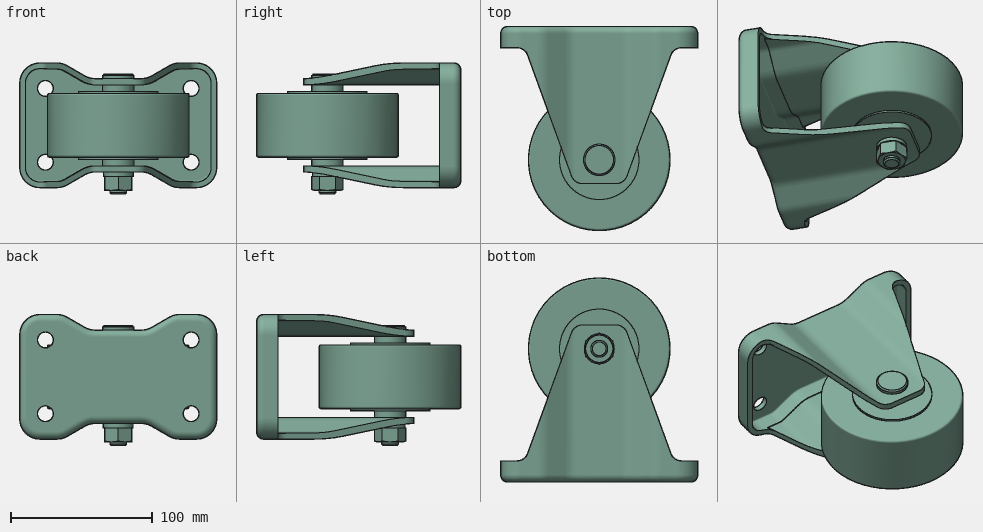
import cadquery as cq
import math


WHEEL_RADIUS = 50.0
WHEEL_WIDTH = 45.0
WHEEL_EDGE_RADIUS = 1.5
HUB_DIAMETER = 56.0
HUB_WIDTH = 48.0
SPACER_DIAMETER = 22.2
AXLE_DIAMETER = 12.0
AXLE_TIP_LENGTH = 2.7
AXLE_TIP_CHAMFER = 1.2
HEAD_DIAMETER = SPACER_DIAMETER
HEAD_HEIGHT = 3.0
HEAD_CHAMFER = 1.0
WASHER_DIAMETER = 21.2
WASHER_THICKNESS = 3.0
NUT_CORNER_DIAMETER = 22.2
NUT_HEIGHT = 9.8
NUT_CHAMFER_HEIGHT = 0.6

PLATE_SHEET = 4.0
LEG_SHEET = 4.5
PLATE_LENGTH = 139.0
PLATE_HEIGHT = 88.0
PLATE_FACE_Y = 94.0
RIM_DEPTH = 15.1
CORNER_RADIUS = 14.4
FACE_EDGE_RADIUS = 5.0
WAIST_HEIGHT = 66.0
WAIST_HALF_FLAT = 16.4
BEND_ANGLE = math.radians(30)
BEND_RADIUS = 14.4
LEG_REACH = 16.8
LEG_HALF_TIP = 17.5
LEG_SLOPE = math.radians(20)
LEG_TIP_RADIUS = 8.6
LEG_ROOT_RADIUS = 7.8
HOLE_DIAMETER = 11.0
HOLE_SPACING_X = 102.7
HOLE_SPACING_Z = 52.0

SELECTION_MARGIN = 1.5

RIM_Y = PLATE_FACE_Y - RIM_DEPTH
LEG_HALF_ROOT = LEG_HALF_TIP + (RIM_Y + LEG_REACH) * math.tan(LEG_SLOPE)


def fork_quarter(inset):
    """Return the +X, +Z quarter of the waisted plate outline, moved inwards by inset."""
    half_length = PLATE_LENGTH / 2 - inset
    half_height = PLATE_HEIGHT / 2 - inset
    half_waist = WAIST_HEIGHT / 2 - inset
    corner = CORNER_RADIUS - inset
    shoulder = BEND_RADIUS - inset
    hollow = BEND_RADIUS + inset

    sine = math.sin(BEND_ANGLE)
    rise = 1 - math.cos(BEND_ANGLE)
    diagonal = 1 - math.sqrt(0.5)
    half = BEND_ANGLE / 2

    slope_start_x = WAIST_HALF_FLAT + hollow * sine
    slope_start_z = half_waist + hollow * rise
    slope_end_z = half_height - shoulder * rise
    slope_end_x = slope_start_x + (slope_end_z - slope_start_z) / math.tan(BEND_ANGLE)
    shoulder_x = slope_end_x + shoulder * sine
    hollow_mid = (
        WAIST_HALF_FLAT + hollow * math.sin(half),
        half_waist + hollow * (1 - math.cos(half)),
    )
    shoulder_mid = (
        shoulder_x - shoulder * math.sin(half),
        half_height - shoulder * (1 - math.cos(half)),
    )
    corner_mid = (half_length - corner * diagonal, half_height - corner * diagonal)

    return (
        cq.Workplane("XZ")
        .moveTo(0, 0)
        .lineTo(0, half_waist)
        .lineTo(WAIST_HALF_FLAT, half_waist)
        .threePointArc(hollow_mid, (slope_start_x, slope_start_z))
        .lineTo(slope_end_x, slope_end_z)
        .threePointArc(shoulder_mid, (shoulder_x, half_height))
        .lineTo(half_length - corner, half_height)
        .threePointArc(corner_mid, (half_length, half_height - corner))
        .lineTo(half_length, 0)
        .close()
    )


def fork_prism(inset, bottom_y, top_y):
    """Return a solid prism of the plate outline, moved inwards by inset, between two heights along Y."""
    quarter = fork_quarter(inset).extrude(top_y - bottom_y).translate((0, top_y, 0))
    upper_half = quarter.union(quarter.mirror("YZ"))
    return upper_half.union(upper_half.mirror("XY")).clean()


def leg_taper():
    """Return a block through both legs with their tapered outline and rounded tips."""
    return (
        cq.Workplane("XY")
        .polyline([
            (-LEG_HALF_TIP, -LEG_REACH),
            (LEG_HALF_TIP, -LEG_REACH),
            (LEG_HALF_ROOT, RIM_Y),
            (-LEG_HALF_ROOT, RIM_Y),
        ])
        .close()
        .extrude(PLATE_HEIGHT / 2, both=True)
        .edges("|Z and <Y")
        .fillet(LEG_TIP_RADIUS)
    )


def rim_and_leg_taper():
    """Return the leg taper joined to a full-length block for the rim, with rounded leg roots."""
    rim = cq.Workplane("XY").box(PLATE_LENGTH, RIM_DEPTH, PLATE_HEIGHT)
    rim = rim.translate((0, PLATE_FACE_Y - RIM_DEPTH / 2, 0))
    margin = SELECTION_MARGIN
    root_edges = cq.selectors.BoxSelector(
        (-LEG_HALF_ROOT - margin, RIM_Y - margin, -PLATE_HEIGHT),
        (LEG_HALF_ROOT + margin, RIM_Y + margin, PLATE_HEIGHT),
    )
    return rim.union(leg_taper()).edges("|Z").edges(root_edges).fillet(LEG_ROOT_RADIUS)


def make_fork():
    """Return the mounting plate with its rim and the two legs that carry the axle."""
    block = fork_prism(0, -LEG_REACH, PLATE_FACE_Y).faces(">Y").edges().fillet(FACE_EDGE_RADIUS)
    cavity = fork_prism(PLATE_SHEET, -LEG_REACH, PLATE_FACE_Y - PLATE_SHEET)
    cavity = cavity.faces(">Y").edges().fillet(FACE_EDGE_RADIUS - PLATE_SHEET)
    dish = block.cut(cavity).intersect(rim_and_leg_taper())

    leg_gap = fork_prism(LEG_SHEET, -LEG_REACH, RIM_Y)
    legs = block.cut(leg_gap).intersect(leg_taper())
    fork = dish.union(legs)

    mounting_holes = (
        cq.Workplane("XZ", origin=(0, PLATE_FACE_Y, 0))
        .rect(HOLE_SPACING_X, HOLE_SPACING_Z, forConstruction=True)
        .vertices()
        .circle(HOLE_DIAMETER / 2)
        .extrude(PLATE_SHEET)
    )
    axle_hole = cq.Workplane("XY").circle(AXLE_DIAMETER / 2).extrude(PLATE_HEIGHT / 2, both=True)
    return fork.cut(mounting_holes).cut(axle_hole).solids()


def disc(diameter, start_z, height):
    """Return a cylinder on the wheel axis."""
    return cq.Workplane("XY", origin=(0, 0, start_z)).circle(diameter / 2).extrude(height)


def make_nut(bottom_z):
    """Return the hexagonal nut, corners towards +Y and -Y, chamfered at its lower end."""
    hexagon = (
        cq.Workplane("XY", origin=(0, 0, bottom_z))
        .transformed(rotate=(0, 0, 90))
        .polygon(6, NUT_CORNER_DIAMETER)
        .extrude(NUT_HEIGHT)
    )
    corner_radius = NUT_CORNER_DIAMETER / 2
    flat_radius = corner_radius * math.cos(math.pi / 6)
    chamfered_round = (
        cq.Workplane("XZ")
        .moveTo(0, bottom_z)
        .lineTo(flat_radius, bottom_z)
        .lineTo(corner_radius, bottom_z + NUT_CHAMFER_HEIGHT)
        .lineTo(corner_radius, bottom_z + NUT_HEIGHT)
        .lineTo(0, bottom_z + NUT_HEIGHT)
        .close()
        .revolve(360, (0, 0, 0), (0, 1, 0))
    )
    return hexagon.intersect(chamfered_round)


def make_wheel():
    """Return the wheel with its hub, spacers, axle, head, washer and nut."""
    leg_outer_z = WAIST_HEIGHT / 2
    leg_inner_z = leg_outer_z - LEG_SHEET
    nut_top_z = -leg_outer_z - WASHER_THICKNESS
    nut_bottom_z = nut_top_z - NUT_HEIGHT
    tip_z = nut_bottom_z - AXLE_TIP_LENGTH

    tyre = disc(2 * WHEEL_RADIUS, -WHEEL_WIDTH / 2, WHEEL_WIDTH).edges().fillet(WHEEL_EDGE_RADIUS)
    hub = disc(HUB_DIAMETER, -HUB_WIDTH / 2, HUB_WIDTH)
    spacers = disc(SPACER_DIAMETER, -leg_inner_z, 2 * leg_inner_z)
    axle = disc(AXLE_DIAMETER, tip_z, leg_outer_z - tip_z).faces("<Z").chamfer(AXLE_TIP_CHAMFER)
    head = disc(HEAD_DIAMETER, leg_outer_z, HEAD_HEIGHT).faces(">Z").chamfer(HEAD_CHAMFER)
    washer = disc(WASHER_DIAMETER, nut_top_z, WASHER_THICKNESS)
    nut = make_nut(nut_bottom_z)

    wheel = tyre
    for piece in (hub, spacers, axle, head, washer, nut):
        wheel = wheel.union(piece)
    return wheel.solids()


fork = make_fork()
wheel = make_wheel()
result = cq.Compound.makeCompound([fork.val(), wheel.val()])